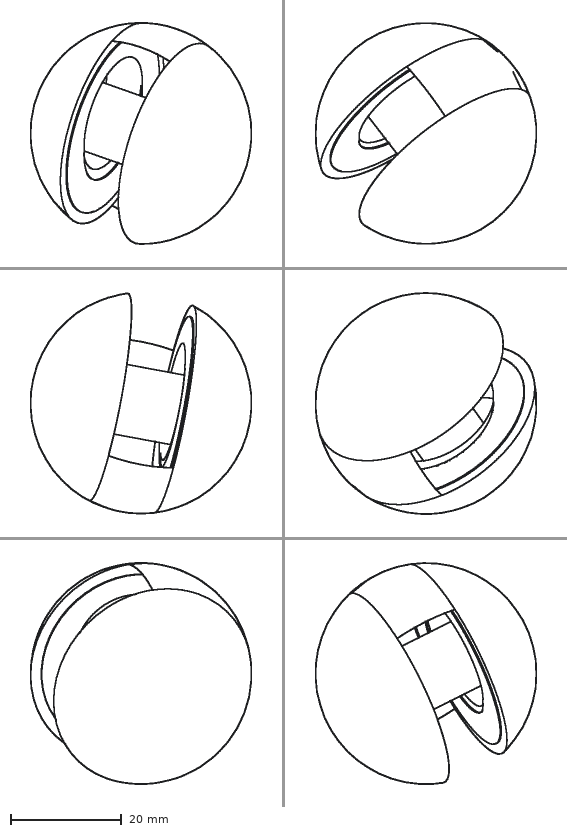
import cadquery as cq

ball_radius = 20.0
slot_width = 12.0
skin_thickness = 0.05

ring_outer_radius = 17.0
ring_inner_radius = 10.7
ring_height = 0.25

bore_radius = ring_inner_radius
bore_offset = 2.4
bore_end = 13.0

axle_radius = 6.4

wall = slot_width / 2
ball_diameter = 2 * ball_radius


def disc(radius, x_start, length):
    """Cylinder along +X, centred on the ball's X axis, starting at x_start."""
    return cq.Workplane("YZ").workplane(offset=x_start).circle(radius).extrude(length)


def slotted_ball():
    """Ball with an open slot in front of Y = 0 and a hollow behind it."""
    ball = cq.Workplane("XY").sphere(ball_radius)
    slab = cq.Workplane("XY").box(slot_width, ball_diameter, ball_diameter)
    front_slot = cq.Workplane("XY").box(slot_width, ball_radius, ball_diameter)
    front_slot = front_slot.translate((0, -ball_radius / 2, 0))
    hollow = cq.Workplane("XY").sphere(ball_radius - skin_thickness).intersect(slab)
    return ball.cut(front_slot).cut(hollow)


def wall_ring():
    """Ring standing on the +X slot wall."""
    ring_start = wall - ring_height
    opening = disc(ring_inner_radius, ring_start, ring_height)
    return disc(ring_outer_radius, ring_start, ring_height).cut(opening)


def wall_bore():
    """Cutter for the blind bore in the +X slot wall, open through the ring."""
    bore_start = wall - ring_height
    return disc(bore_radius, bore_start, bore_end - bore_start).translate((0, 0, bore_offset))


result = slotted_ball()
ring = wall_ring()
bore = wall_bore()
result = result.union(ring).union(ring.mirror("YZ"))
result = result.cut(bore).cut(bore.mirror("YZ"))
result = result.union(disc(axle_radius, -bore_end, 2 * bore_end))